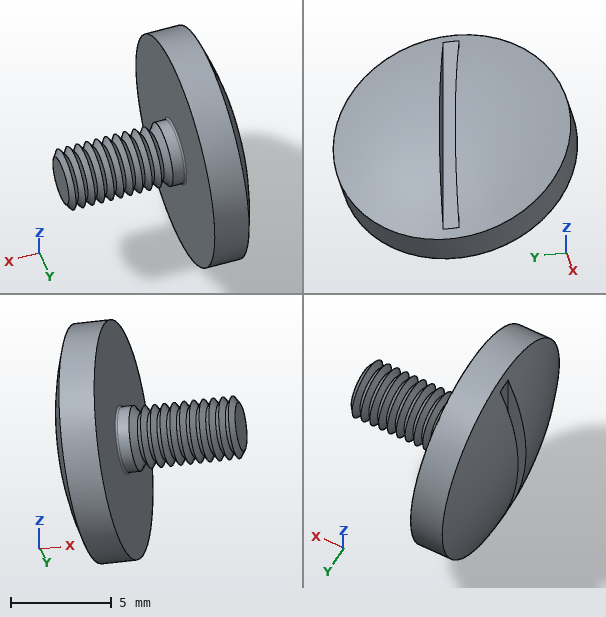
import cadquery as cq

head_radius = 6.0
rim_thickness = 1.8
dome_height = 1.2
slot_width = 0.8
slot_depth = 1.01
shank_length = 6.0
collar_radius = 1.65
collar_length = 0.68
collar_fillet = 0.1
crest_radius = 1.57
root_radius = 1.22
thread_count = 10
thread_start = 1.01

rim_front = -rim_thickness
dome_tip = rim_front - dome_height
dome_radius = (head_radius**2 + dome_height**2) / (2 * dome_height)
dome_center = dome_tip + dome_radius
mid_arc_radius = head_radius / 2
mid_arc_x = dome_center - (dome_radius**2 - mid_arc_radius**2) ** 0.5
pitch = (shank_length - thread_start) / thread_count


def revolve_about_x(profile):
    """Turn a closed half profile, drawn in the XY plane, about the X axis."""
    return profile.revolve(360, (0, 0, 0), (1, 0, 0))


def make_head():
    """Round head with a straight rim and a spherical dome."""
    profile = (
        cq.Workplane("XY")
        .moveTo(dome_tip, 0)
        .threePointArc((mid_arc_x, mid_arc_radius), (rim_front, head_radius))
        .lineTo(0, head_radius)
        .lineTo(0, 0)
        .close()
    )
    return revolve_about_x(profile)


def make_shank():
    """Filleted collar tapering into a thread of separate V-shaped rings."""
    profile = (
        cq.Workplane("XY")
        .moveTo(0, 0)
        .lineTo(0, collar_radius + collar_fillet)
        .radiusArc((collar_fillet, collar_radius), -collar_fillet)
        .lineTo(collar_length, collar_radius)
        .lineTo(thread_start, root_radius)
    )
    for ring in range(thread_count):
        ring_start = thread_start + ring * pitch
        profile = profile.lineTo(ring_start + pitch / 2, crest_radius)
        profile = profile.lineTo(ring_start + pitch, root_radius)
    return revolve_about_x(profile.lineTo(shank_length, 0).close())


def make_slot():
    """Screwdriver slot running along Z across the dome."""
    return (
        cq.Workplane("XY")
        .box(slot_depth, slot_width, 2 * head_radius, centered=(False, True, True))
        .translate((dome_tip, 0, 0))
    )


result = make_head().union(make_shank()).cut(make_slot())